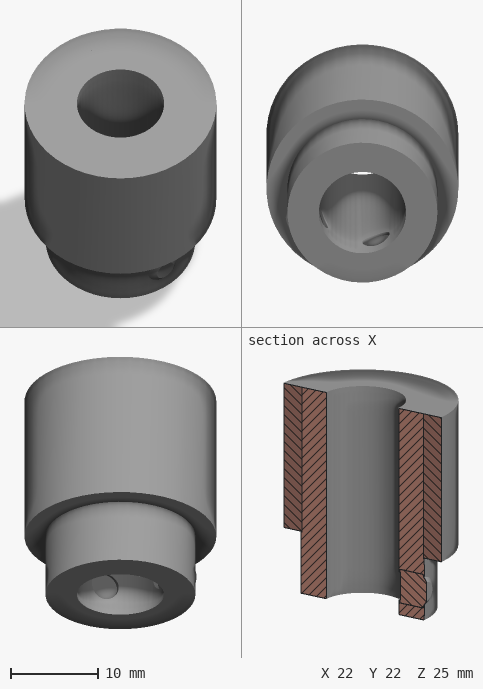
import cadquery as cq

total_height = 25.0
bore_diameter = 10.0

collar_diameter = 17.2
collar_height = 7.5
neck_diameter = 17.0

sleeve_diameter = 22.0
sleeve_height = total_height - collar_height

screw_diameter = 4.0
screw_tip_diameter = 2.3
screw_cone_length = 0.58
screw_hole_diameter = 3.3
screw_height = 3.5
screw_recess = 0.25
screw_inner_reach = bore_diameter / 2 + screw_recess
screw_protrusion = 0.32
screw_outer_reach = collar_diameter / 2 + screw_protrusion
screw_angles = (0.0, 90.0)


def make_screw(angle):
    """Radial set screw whose outer end narrows in a cone to a flat tip."""
    radius = screw_diameter / 2
    cone_start = screw_outer_reach - screw_cone_length
    return (
        cq.Workplane("XY", origin=(0, 0, screw_height))
        .moveTo(screw_inner_reach, 0)
        .lineTo(screw_inner_reach, radius)
        .lineTo(cone_start, radius)
        .lineTo(screw_outer_reach, screw_tip_diameter / 2)
        .lineTo(screw_outer_reach, 0)
        .close()
        .revolve(360, (0, 0, 0), (1, 0, 0))
        .rotate((0, 0, 0), (0, 0, 1), angle)
    )


def make_screw_hole(angle):
    """Radial pilot hole from the bore out through the collar surface."""
    return (
        cq.Workplane("YZ", origin=(0, 0, screw_height))
        .circle(screw_hole_diameter / 2)
        .extrude(screw_outer_reach)
        .rotate((0, 0, 0), (0, 0, 1), angle)
    )


def make_hub():
    """Stepped hub with a through bore and a pilot hole and a fitted seat for each screw."""
    collar = cq.Workplane("XY").circle(collar_diameter / 2).extrude(collar_height)
    neck = cq.Workplane("XY").circle(neck_diameter / 2).extrude(total_height)
    bore = cq.Workplane("XY").circle(bore_diameter / 2).extrude(total_height)
    body = collar.union(neck).cut(bore)
    for angle in screw_angles:
        body = body.cut(make_screw_hole(angle)).cut(make_screw(angle))
    return body


def make_sleeve():
    """Plain ring that fits on the neck and rests on the collar."""
    return (
        cq.Workplane("XY", origin=(0, 0, collar_height))
        .circle(sleeve_diameter / 2)
        .circle(neck_diameter / 2)
        .extrude(sleeve_height)
    )


set_screws = [make_screw(angle) for angle in screw_angles]
hub = make_hub()
sleeve = make_sleeve()

result = cq.Compound.makeCompound([hub.val(), sleeve.val(), *[screw.val() for screw in set_screws]])